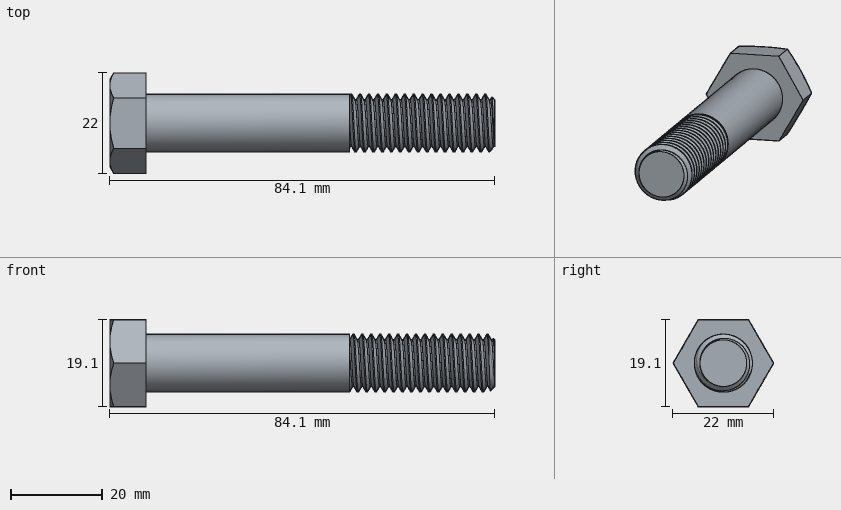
import cadquery as cq
import math

INCH = 25.4

MAJOR_DIAMETER = INCH / 2
THREADS_PER_INCH = 13
BOLT_LENGTH = 3 * INCH
THREAD_LENGTH = 1.25 * INCH
HEAD_ACROSS_FLATS = 0.75 * INCH
HEAD_SIDES = 6
HEAD_HEIGHT = 5 / 16 * INCH
HEAD_CHAMFER_ANGLE = math.radians(30)

PITCH = INCH / THREADS_PER_INCH
FLANK_HALF_ANGLE = math.radians(30)
SHARP_V_HEIGHT = PITCH / (2 * math.tan(FLANK_HALF_ANGLE))
THREAD_DEPTH = 17 / 24 * SHARP_V_HEIGHT
CREST_WIDTH = PITCH / 8
CUTTER_CLEARANCE = 0.1
FIRST_CREST_OFFSET = 0.82
OVERRUN_TURNS = 2
END_CHAMFER = 1.25

MARK_COUNT = 3
MARK_INNER_RADIUS = 4.0
MARK_OUTER_RADIUS = 7.7
MARK_WIDTH = 0.75
MARK_DEPTH = 0.25

MAJOR_RADIUS = MAJOR_DIAMETER / 2
ROOT_RADIUS = MAJOR_RADIUS - THREAD_DEPTH
HEAD_ACROSS_CORNERS = HEAD_ACROSS_FLATS / math.cos(math.pi / HEAD_SIDES)
SHANK_LENGTH = BOLT_LENGTH - THREAD_LENGTH


def make_head():
    """Hexagonal prism with two corners on the Y axis and a conical chamfer on its outer face."""
    prism = cq.Workplane("YZ").polygon(HEAD_SIDES, HEAD_ACROSS_CORNERS).extrude(-HEAD_HEIGHT)
    flat_radius = HEAD_ACROSS_FLATS / 2
    cone_radius = flat_radius + HEAD_HEIGHT / math.tan(HEAD_CHAMFER_ANGLE)
    cone = (
        cq.Workplane("XY")
        .moveTo(-HEAD_HEIGHT, 0)
        .lineTo(-HEAD_HEIGHT, flat_radius)
        .lineTo(0, cone_radius)
        .lineTo(0, 0)
        .close()
        .revolve(360, (0, 0, 0), (1, 0, 0))
    )
    return prism.intersect(cone)


def cut_grade_marks(head):
    """Three equally spaced radial slots, the first one pointing along +Y."""
    mark_length = MARK_OUTER_RADIUS - MARK_INNER_RADIUS
    mark_middle = (MARK_OUTER_RADIUS + MARK_INNER_RADIUS) / 2
    mark = (
        cq.Workplane("YZ", origin=(-HEAD_HEIGHT, 0, 0))
        .center(mark_middle, 0)
        .rect(mark_length, MARK_WIDTH)
        .extrude(MARK_DEPTH)
    )
    for index in range(MARK_COUNT):
        head = head.cut(mark.rotate((0, 0, 0), (1, 0, 0), index * 360 / MARK_COUNT))
    return head


def make_groove_turn():
    """One turn of the right-handed helical thread groove, starting and ending below the axis."""
    flank_slope = math.tan(FLANK_HALF_ANGLE)
    mouth_radius = MAJOR_RADIUS + CUTTER_CLEARANCE
    mouth_half_width = (PITCH - CREST_WIDTH) / 2 + CUTTER_CLEARANCE * flank_slope
    root_half_width = mouth_half_width - (mouth_radius - ROOT_RADIUS) * flank_slope
    profile = (
        cq.Workplane("XZ")
        .moveTo(ROOT_RADIUS, -root_half_width)
        .lineTo(mouth_radius, -mouth_half_width)
        .lineTo(mouth_radius, mouth_half_width)
        .lineTo(ROOT_RADIUS, root_half_width)
        .close()
    )
    helix = cq.Wire.makeHelix(PITCH, PITCH, ROOT_RADIUS)
    turn = profile.sweep(cq.Workplane(obj=helix), isFrenet=True)
    return turn.rotate((0, 0, 0), (0, 1, 0), 90)


def make_threaded_end():
    """Chamfered rod with the groove cut only beyond the end of the plain shank."""
    rod = (
        cq.Workplane("YZ", origin=(SHANK_LENGTH, 0, 0))
        .circle(MAJOR_RADIUS)
        .extrude(THREAD_LENGTH)
        .faces(">X")
        .chamfer(END_CHAMFER)
    )
    turn = make_groove_turn()
    first_turn = SHANK_LENGTH + FIRST_CREST_OFFSET - OVERRUN_TURNS * PITCH
    turn_count = math.ceil(THREAD_LENGTH / PITCH) + OVERRUN_TURNS
    turns = [turn.translate((first_turn + index * PITCH, 0, 0)).val() for index in range(turn_count)]
    return cq.Workplane(obj=rod.val().cut(*turns))


def make_shank():
    """Plain cylinder from the underside of the head to the start of the thread."""
    return cq.Workplane("YZ").circle(MAJOR_RADIUS).extrude(SHANK_LENGTH)


head = cut_grade_marks(make_head())
result = head.union(make_shank()).union(make_threaded_end()).solids()